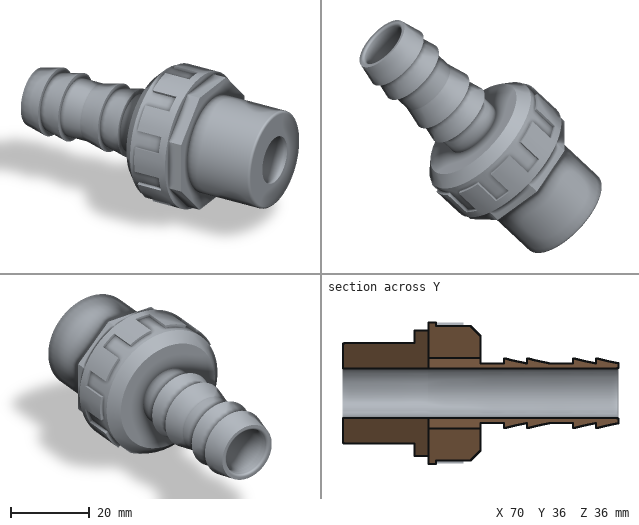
import cadquery as cq
import math

total_length = 70.0

stem_length = total_length / 2
stem_radius = 7.6
barb_crest_radius = 8.95
barb_length = stem_length / 6
barb_positions = (0, 1, 3, 4)
bore_radius = 6.2
edge_round = 0.6
collar_radius = barb_crest_radius

nut_length = 13.3
nut_radius = 18.0
nut_floor_radius = 17.15
nut_face_radius = 14.55
nut_bevel_length = 2.6
slot_count = 10
slot_angle = 14.2
slot_start = 4.3
slot_length = 7.0

octagon_sides = 8
octagon_across_flats = 31.85
octagon_length = 3.6
socket_radius = 12.8

nut_front = stem_length
nut_back = nut_front + nut_length


def cylinder(start, length, radius):
    """Cylinder on the X axis."""
    return cq.Workplane("YZ", origin=(start, 0, 0)).circle(radius).extrude(length)


def revolve_about_x(outline):
    """Full turn of an (x, radius) outline about the X axis."""
    return cq.Workplane("XY").polyline(outline).close().revolve(360, (0, 0, 0), (1, 0, 0))


def barb(start):
    """Cone that widens away from the mouth and ends in a sharp step."""
    end = start + barb_length
    return revolve_about_x([
        (start, 0),
        (start, stem_radius),
        (end, barb_crest_radius),
        (end, 0),
    ])


def make_tail():
    tail = cylinder(0, stem_length, stem_radius)
    for position in barb_positions:
        tail = tail.union(barb(position * barb_length))
    tail = tail.union(cylinder(nut_front, nut_length, collar_radius))
    tail = tail.cut(cylinder(0, nut_back, bore_radius))
    mouth_edge = cq.selectors.RadiusNthSelector(0)
    return tail.faces("<X").edges(mouth_edge).fillet(edge_round)


def slot_wedge(angle):
    """Wedge from the axis outwards that cuts one grip slot, centred at the given angle from +Y."""
    half_angle = math.radians(slot_angle / 2)
    reach = 2 * nut_radius
    half_width = reach * math.tan(half_angle)
    return (
        cq.Workplane("YZ", origin=(nut_front + slot_start, 0, 0))
        .polyline([(0, 0), (reach, -half_width), (reach, half_width)])
        .close()
        .extrude(slot_length)
        .rotate((0, 0, 0), (1, 0, 0), angle)
    )


def make_grip_ring():
    """Raised outer ring, with slots that are open towards the front."""
    start = nut_front + slot_start
    length = nut_length - slot_start
    ring = cylinder(start, length, nut_radius)
    ring = ring.cut(cylinder(start, length, collar_radius))
    slot_pitch = 360 / slot_count
    first_angle = 90
    for index in range(slot_count):
        ring = ring.cut(slot_wedge(first_angle + index * slot_pitch))
    return ring


def make_nut():
    core = revolve_about_x([
        (nut_front, collar_radius),
        (nut_front, nut_face_radius),
        (nut_front + nut_bevel_length, nut_floor_radius),
        (nut_back, nut_floor_radius),
        (nut_back, collar_radius),
    ])
    return core.union(make_grip_ring())


def make_socket_end():
    corner_diameter = octagon_across_flats / math.cos(math.pi / octagon_sides)
    octagon = (
        cq.Workplane("YZ", origin=(nut_back, 0, 0))
        .transformed(rotate=(0, 0, 180 / octagon_sides))
        .polygon(octagon_sides, corner_diameter)
        .extrude(octagon_length)
    )
    length = total_length - nut_back
    spigot = cylinder(nut_back, length, socket_radius)
    spigot = spigot.faces(">X").edges().fillet(edge_round)
    return octagon.union(spigot).cut(cylinder(nut_back, length, bore_radius))


tail = make_tail()
nut = make_nut()
socket_end = make_socket_end()

result = cq.Compound.makeCompound([body.solids().val() for body in (tail, nut, socket_end)])